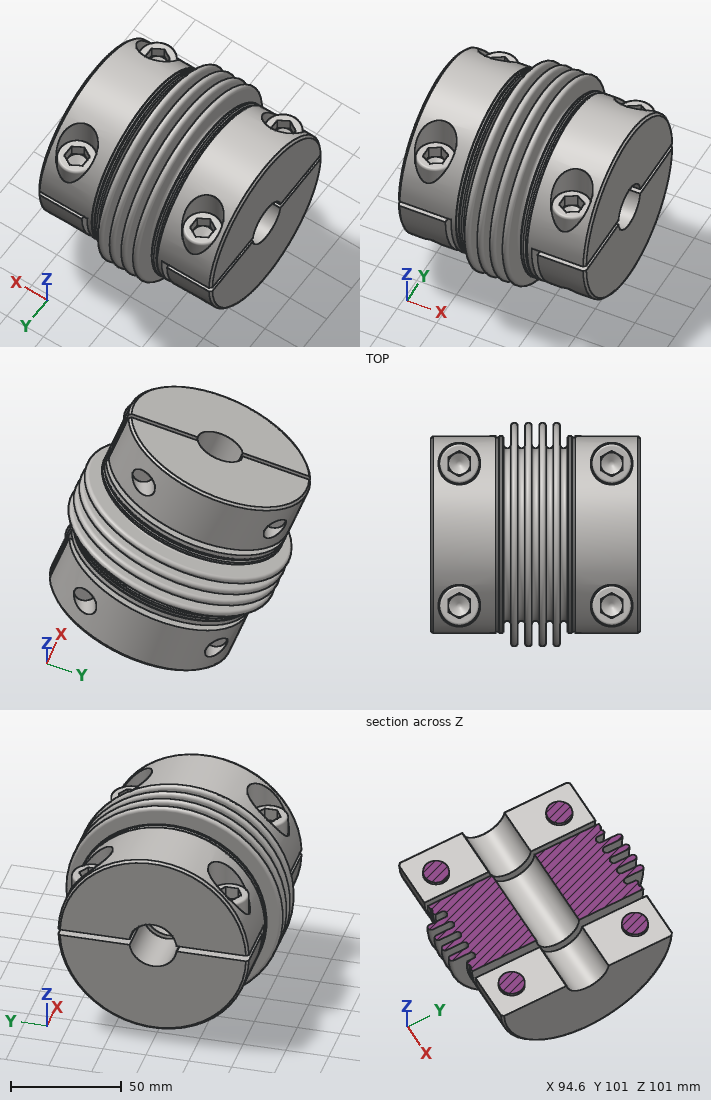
import cadquery as cq
import math

overall_length = 94.6
hub_diameter = 89.0
hub_chamfer = 1.1
bore_diameter = 22.0

groove_diameter = 87.8
groove_outer = 18.0
rim_outer = 16.1
rim_chamfer = 0.7
ramp_width = 0.8

bellows_diameter = 101.0
root_diameter = 78.0
ridge_count = 4
bellows_pitch = 6.4

slot_height = 2.8
gap_inner = 20.3
gap_outer = 23.2

screw_x = 34.3
screw_y = 32.0
shank_diameter = 12.0
shank_end = -22.0
head_diameter = 18.0
head_height = shank_diameter
head_round = 1.2
head_top = 25.0
socket_width = 10.0
socket_depth = 6.0
socket_point_angle = 120.0

counterbore_diameter = 19.0
clearance_diameter = 12.5
thread_hole_diameter = 10.2

half_length = overall_length / 2
hub_radius = hub_diameter / 2
groove_radius = groove_diameter / 2
wave_radius = bellows_pitch / 4
rim_inner = ridge_count * bellows_pitch / 2 + wave_radius
ridge_arc_centre = bellows_diameter / 2 - wave_radius
root_arc_centre = root_diameter / 2 + wave_radius
head_seat = head_top - head_height
socket_corner_diameter = socket_width / math.cos(math.radians(30))
screw_places = [(x, y) for x in (-screw_x, screw_x) for y in (-screw_y, screw_y)]


def revolve_about_axis(profile):
    """Turn a profile lying in the XY plane about the X axis."""
    return profile.close().revolve(360, (0, 0, 0), (1, 0, 0))


def left_hub():
    """Hub, relief groove and rim on the -X side of the bellows."""
    profile = (
        cq.Workplane("XY")
        .moveTo(-half_length, 0)
        .lineTo(-half_length, hub_radius - hub_chamfer)
        .lineTo(-half_length + hub_chamfer, hub_radius)
        .lineTo(-groove_outer, hub_radius)
        .lineTo(-groove_outer, groove_radius)
        .lineTo(-rim_outer - ramp_width, groove_radius)
        .lineTo(-rim_outer, hub_radius)
        .lineTo(-rim_inner - rim_chamfer, hub_radius)
        .lineTo(-rim_inner, hub_radius - rim_chamfer)
        .lineTo(-rim_inner, 0)
    )
    return revolve_about_axis(profile)


def bellows():
    """Corrugated body between the rims, solid down to the axis."""
    profile = cq.Workplane("XY").moveTo(-rim_inner, 0).lineTo(-rim_inner, root_arc_centre)
    for ridge in range(ridge_count):
        root_x = -rim_inner + wave_radius + ridge * bellows_pitch
        ridge_x = root_x + bellows_pitch / 2
        profile = (
            profile.threePointArc((root_x, root_diameter / 2), (root_x + wave_radius, root_arc_centre))
            .lineTo(root_x + wave_radius, ridge_arc_centre)
            .threePointArc((ridge_x, bellows_diameter / 2), (ridge_x + wave_radius, ridge_arc_centre))
            .lineTo(ridge_x + wave_radius, root_arc_centre)
        )
    profile = (
        profile.threePointArc((rim_inner - wave_radius, root_diameter / 2), (rim_inner, root_arc_centre))
        .lineTo(rim_inner, 0)
    )
    return revolve_about_axis(profile)


def cylinder(diameter, bottom, top):
    """Vertical cylinder on the Z axis."""
    return cq.Workplane("XY").workplane(offset=bottom).circle(diameter / 2).extrude(top - bottom)


def clamp_gap(side):
    """L-shaped cut through the hub on one side (-1 or +1) of the middle plane."""
    slot_length = half_length - gap_inner
    slot = (
        cq.Workplane("XY")
        .box(slot_length, hub_diameter, slot_height)
        .translate((side * (gap_inner + slot_length / 2), 0, 0))
    )
    gap_width = gap_outer - gap_inner
    gap = (
        cq.Workplane("XY")
        .box(gap_width, hub_diameter, hub_radius)
        .translate((side * (gap_inner + gap_width / 2), 0, -hub_radius / 2))
    )
    return slot.union(gap)


def screw_hole():
    """Counterbore, clearance hole down to the slot, and thread hole out of the lower half."""
    counterbore = cylinder(counterbore_diameter, head_seat, hub_radius)
    clearance = cylinder(clearance_diameter, 0, head_seat)
    thread = cylinder(thread_hole_diameter, -hub_radius, 0)
    return counterbore.union(clearance).union(thread)


def screw():
    """Socket-head cap screw with a hexagon socket ending in a drill point."""
    shank = cylinder(shank_diameter, shank_end, head_seat)
    head = cylinder(head_diameter, head_seat, head_top).faces(">Z").edges().fillet(head_round)
    socket_floor = head_top - socket_depth
    socket = (
        cq.Workplane("XY")
        .workplane(offset=socket_floor)
        .transformed(rotate=(0, 0, 90))
        .polygon(6, socket_corner_diameter)
        .extrude(socket_depth)
    )
    point_radius = socket_width / 2
    point_depth = point_radius / math.tan(math.radians(socket_point_angle / 2))
    point = cq.Workplane(
        cq.Solid.makeCone(point_radius, 0, point_depth, cq.Vector(0, 0, socket_floor), cq.Vector(0, 0, -1))
    )
    return shank.union(head).cut(socket).cut(point)


body = left_hub().union(bellows()).union(left_hub().mirror("YZ"))
body = body.cut(cq.Workplane("YZ").circle(bore_diameter / 2).extrude(half_length, both=True))
for side in (-1, 1):
    body = body.cut(clamp_gap(side))
for x, y in screw_places:
    body = body.cut(screw_hole().translate((x, y, 0)))
result = body
for x, y in screw_places:
    result = result.union(screw().translate((x, y, 0)))